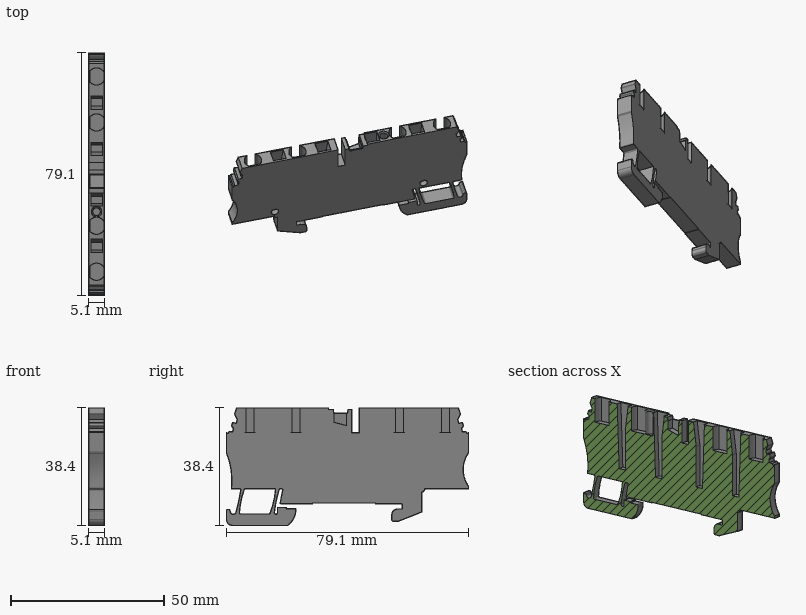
import cadquery as cq
import math

THICKNESS = 5.1
LENGTH = 79.05
HEIGHT = 38.35
HALF_LENGTH = LENGTH / 2
OPEN_FACE_X = THICKNESS / 2
CLOSED_FACE_X = -THICKNESS / 2

SHOULDER_Z = 30.27
UNDERSIDE_Z = 11.93
RAIL_Z = 7.1
RAIL_RELIEF_Y = (-11.4, 9.2)
RAIL_RELIEF = 0.2

END_STEPS = [
    (3.35, HEIGHT),
    (2.65, 36.4),
    (3.5, 34.6),
    (3.25, 33.4),
    (2.05, 33.6),
    (1.65, 32.5),
    (2.3, 31.7),
    (2.05, 30.65),
    (0.9, 30.65),
    (0.5, 30.05),
    (0.0, 30.35),
]
STEP_TIPS = (1, 5)
STEP_TIP_RADIUS = 0.2

HOLLOW_TOP_Z = 23.75
HOLLOW_DEPTH = 1.77
HOLLOW_EDGE_RADIUS = 1.0
LEFT_HOLLOW_BOTTOM_Z = 12.75
RIGHT_HOLLOW_BOTTOM_Z = 12.2
RIGHT_HOLLOW_DEEPEST_Z = 15.0
RIGHT_END_INSET = 1.65

SLOT_Y = (1.43, 3.82)
MARKER_LAND_Z = 37.87
MARKER_RIM_Z = 36.68
MARKER_LAND_LEFT_Y = 0.15
MARKER_LAND_RIGHT_Y = -6.15
MARKER_RIM_Y = (-4.45, -0.06)
MARKER_LAND_END_Y = -4.62
MARKER_RIM_WIDTH = 0.45
MARKER_FLOOR_Y = (-4.4, -0.3)
MARKER_FLOOR_DROP = 3.0
MARKER_FLOOR_ANGLE = 15.0

HOOK_OUTER_Y = 24.23
HOOK_HEEL_Z = 4.4
HOOK_TOE_Y = 14.4
HOOK_BOTTOM_Z = 1.37
HOOK_BOTTOM_Y = 16.6
HOOK_TOP_Z = 5.43
HOOK_THROAT_Y = 17.8
HOOK_NOSE_RADIUS = 2.0
HOOK_TOE_RADIUS = 0.6
HOOK_ROOT_RADIUS = 1.0

RAIL_END_Y = -22.06
SLIT_TOP_Y = -21.1
BODY_END_Y = -HALF_LENGTH + RIGHT_END_INSET
FOOT_TIP_Y = -16.83
FOOT_TIP_Z = 5.5
FOOT_CATCH_Y = -19.97
FOOT_CATCH_Z = 5.95
FOOT_FLOOR_Z = 3.8
FOOT_GROOVE_BOTTOM_Z = 3.7
FOOT_HEEL_RADIUS = 2.0
SMALL_ROUND = 0.3
LEG_ROUND = 0.5
LIP_ROUND = 0.45
INNER_GROOVE_Y = -22.85
INNER_GROOVE_MID_Y = -23.35
GROOVE_EDGE_Z = 4.2
OUTER_GROOVE_MID_Y = -37.3
OUTER_GROOVE_END = (-38.2, 4.4)
LIP_Y = -38.45
LIP_Z = 5.25
FOOT_FRONT_Y = -19.5
FOOT_NOSE_MID = (-17.75, 1.95)
FOOT_NOSE_TOP_Z = 4.6

INNER_LEG_NEAR = [(-22.2, UNDERSIDE_Z), (-23.15, 8.4), (-23.83, GROOVE_EDGE_Z)]
INNER_LEG_FAR = [(-23.5, UNDERSIDE_Z), (-24.0, 8.35), (-25.4, FOOT_FLOOR_Z)]
OUTER_LEG_NEAR = [(-33.6, UNDERSIDE_Z), (-34.6, 8.6), (-35.25, FOOT_FLOOR_Z)]
OUTER_LEG_FAR = [(-34.8, UNDERSIDE_Z), (-35.4, 8.6), (-36.45, GROOVE_EDGE_Z)]
LEG_ROOT_Z = 3.0

WIRE_ENTRY_Y = [31.9, 16.9, -16.8, -31.8]
WIRE_ENTRY_DIAMETER = 5.6
WIRE_ENTRY_HALF_WIDTH = 2.05
WIRE_ENTRY_MOUTH = 2.6
WIRE_ENTRY_DEPTH = HEIGHT - SHOULDER_Z
POCKET_OUTER_Y = 25.45
POCKET_PITCH = 15.05
POCKET_LENGTH = 4.3
POCKET_X = (-1.82, 2.0)
POCKET_TAPER_DEPTH = HEIGHT - SHOULDER_Z
POCKET_DEPTH = 22.0
POCKET_INNER_TAPER = 1.1
POCKET_OUTER_TAPER = 0.8

TEST_HOLE_Y = -12.2
TEST_HOLE_DIAMETER = 2.5
TEST_HOLE_CHAMFER = 0.45
TEST_HOLE_DEPTH = WIRE_ENTRY_DEPTH
SIDE_HOLE_Y = [25.1, -25.0]
SIDE_HOLE_Z = 14.0
SIDE_HOLE_DIAMETER = 2.5
SIDE_HOLE_DEPTH = 2.0


def profile(y, z):
    """Start an outline in the Y-Z plane at the closed face."""
    return cq.Workplane("YZ", origin=(CLOSED_FACE_X, 0, 0)).moveTo(y, z)


def full_width(outline):
    """Close an outline and extrude it over the whole thickness."""
    return outline.close().extrude(THICKNESS)


def lines(outline, points):
    """Continue an outline with straight lines through the points."""
    for y, z in points:
        outline = outline.lineTo(y, z)
    return outline


def round_corners(solid, corners, radius):
    """Round the edges along X that stand at the given (y, z) corners."""
    for y, z in corners:
        edge = cq.selectors.NearestToPointSelector((0, y, z))
        solid = solid.edges("|X").edges(edge).fillet(radius)
    return solid


def housing():
    left_steps = [(HALF_LENGTH - inset, z) for inset, z in END_STEPS]
    right_steps = [(-y, z) for y, z in reversed(left_steps)]
    hollow_mid_z = (HOLLOW_TOP_Z + LEFT_HOLLOW_BOTTOM_Z) / 2

    outline = profile(*left_steps[0])
    outline = lines(outline, left_steps[1:] + [(HALF_LENGTH, HOLLOW_TOP_Z)])
    outline = outline.threePointArc(
        (HALF_LENGTH - HOLLOW_DEPTH, hollow_mid_z), (HALF_LENGTH, LEFT_HOLLOW_BOTTOM_Z)
    )
    arc_offset = HOOK_ROOT_RADIUS * math.sqrt(0.5)
    outline = lines(
        outline,
        [(HALF_LENGTH, UNDERSIDE_Z), (HOOK_OUTER_Y + HOOK_ROOT_RADIUS, UNDERSIDE_Z)],
    )
    outline = outline.threePointArc(
        (HOOK_OUTER_Y + arc_offset, UNDERSIDE_Z - arc_offset),
        (HOOK_OUTER_Y, UNDERSIDE_Z - HOOK_ROOT_RADIUS),
    )

    outline = lines(
        outline,
        [
            (HOOK_OUTER_Y, HOOK_HEEL_Z),
            (HOOK_BOTTOM_Y, HOOK_BOTTOM_Z),
            (HOOK_TOE_Y, HOOK_BOTTOM_Z),
            (HOOK_TOE_Y, HOOK_TOP_Z),
            (HOOK_THROAT_Y, HOOK_TOP_Z),
            (HOOK_THROAT_Y, RAIL_Z),
            (RAIL_RELIEF_Y[1], RAIL_Z),
            (RAIL_RELIEF_Y[1], RAIL_Z + RAIL_RELIEF),
            (RAIL_RELIEF_Y[0], RAIL_Z + RAIL_RELIEF),
            (RAIL_RELIEF_Y[0], RAIL_Z),
            (RAIL_END_Y, RAIL_Z),
            (SLIT_TOP_Y, UNDERSIDE_Z),
            (BODY_END_Y, UNDERSIDE_Z),
            (BODY_END_Y, RIGHT_HOLLOW_BOTTOM_Z),
        ],
    )

    outline = outline.threePointArc(
        (-HALF_LENGTH + HOLLOW_DEPTH, RIGHT_HOLLOW_DEEPEST_Z), (-HALF_LENGTH, HOLLOW_TOP_Z)
    )
    outline = lines(outline, right_steps)

    outline = lines(
        outline,
        [
            (MARKER_LAND_RIGHT_Y, HEIGHT),
            (MARKER_LAND_RIGHT_Y, MARKER_LAND_Z),
            (MARKER_LAND_END_Y, MARKER_LAND_Z),
            (MARKER_RIM_Y[0], MARKER_RIM_Z),
            (MARKER_RIM_Y[1], MARKER_RIM_Z),
            (MARKER_LAND_LEFT_Y, MARKER_LAND_Z),
            (SLOT_Y[0], MARKER_LAND_Z),
            (SLOT_Y[0], SHOULDER_Z),
            (SLOT_Y[1], SHOULDER_Z),
            (SLOT_Y[1], HEIGHT),
        ],
    )
    body = full_width(outline)
    body = round_corners(body, [(HOOK_TOE_Y, HOOK_TOP_Z)], HOOK_NOSE_RADIUS)
    body = round_corners(body, [(HOOK_TOE_Y, HOOK_BOTTOM_Z)], HOOK_TOE_RADIUS)
    hollow_edges = [(HALF_LENGTH, HOLLOW_TOP_Z), (-HALF_LENGTH, HOLLOW_TOP_Z)]
    body = round_corners(body, hollow_edges, HOLLOW_EDGE_RADIUS)
    for tip in STEP_TIPS:
        y, z = left_steps[tip]
        body = round_corners(body, [(y, z), (-y, z)], STEP_TIP_RADIUS)
    return round_corners(
        body, [(HOOK_THROAT_Y, RAIL_Z), (RAIL_END_Y, RAIL_Z)], SMALL_ROUND
    )


def foot():
    heel_offset = FOOT_HEEL_RADIUS * (1 - math.sqrt(0.5))
    outline = profile(FOOT_TIP_Y, FOOT_TIP_Z)
    outline = lines(
        outline,
        [
            (FOOT_CATCH_Y, FOOT_TIP_Z),
            (FOOT_CATCH_Y, FOOT_CATCH_Z),
            (INNER_GROOVE_Y, FOOT_CATCH_Z),
            (INNER_GROOVE_Y, GROOVE_EDGE_Z),
        ],
    )
    outline = outline.threePointArc(
        (INNER_GROOVE_MID_Y, FOOT_GROOVE_BOTTOM_Z), INNER_LEG_NEAR[2]
    )
    outline = lines(outline, [INNER_LEG_FAR[2], OUTER_LEG_NEAR[2], OUTER_LEG_FAR[2]])
    outline = outline.threePointArc(
        (OUTER_GROOVE_MID_Y, FOOT_GROOVE_BOTTOM_Z), OUTER_GROOVE_END
    )
    outline = lines(
        outline,
        [(LIP_Y, LIP_Z), (-HALF_LENGTH, LIP_Z), (-HALF_LENGTH, FOOT_HEEL_RADIUS)],
    )
    outline = outline.threePointArc(
        (-HALF_LENGTH + heel_offset, heel_offset), (-HALF_LENGTH + FOOT_HEEL_RADIUS, 0)
    )
    outline = outline.lineTo(FOOT_FRONT_Y, 0)
    outline = outline.threePointArc(FOOT_NOSE_MID, (FOOT_TIP_Y, FOOT_NOSE_TOP_Z))
    return full_width(outline)


def leg(near_side, far_side):
    """A curved leg between housing and foot; each side is (top, middle, bottom)."""
    outline = profile(*near_side[0]).threePointArc(near_side[1], near_side[2])
    outline = lines(
        outline,
        [(near_side[2][0], LEG_ROOT_Z), (far_side[2][0], LEG_ROOT_Z), far_side[2]],
    )
    outline = outline.threePointArc(far_side[1], far_side[0])
    return full_width(outline)


def legs():
    return leg(INNER_LEG_NEAR, INNER_LEG_FAR).union(leg(OUTER_LEG_NEAR, OUTER_LEG_FAR))


def wire_entry(y):
    """A round entry, flat towards the closed face and open at the other face."""
    radius = WIRE_ENTRY_DIAMETER / 2
    side_x = WIRE_ENTRY_HALF_WIDTH
    side_y = math.sqrt(radius**2 - side_x**2)
    mouth_y = WIRE_ENTRY_MOUTH / 2
    return (
        cq.Workplane("XY", origin=(0, y, HEIGHT - WIRE_ENTRY_DEPTH))
        .moveTo(-side_x, -side_y)
        .threePointArc((0, -radius), (side_x, -side_y))
        .lineTo(OPEN_FACE_X, -mouth_y)
        .lineTo(OPEN_FACE_X, mouth_y)
        .lineTo(side_x, side_y)
        .threePointArc((0, radius), (-side_x, side_y))
        .close()
        .extrude(WIRE_ENTRY_DEPTH)
    )


def pocket(outer_y, inward):
    """A tapered pocket; `inward` is the sign of Y pointing to the middle of the part."""
    floor_z = HEIGHT - POCKET_DEPTH
    inner_y = outer_y + inward * POCKET_LENGTH
    narrowed_y = inner_y - inward * POCKET_INNER_TAPER
    return (
        cq.Workplane("YZ", origin=(POCKET_X[0], 0, 0))
        .moveTo(outer_y, HEIGHT)
        .lineTo(outer_y + inward * POCKET_OUTER_TAPER, floor_z)
        .lineTo(narrowed_y, floor_z)
        .lineTo(narrowed_y, HEIGHT - POCKET_TAPER_DEPTH)
        .lineTo(inner_y, HEIGHT)
        .close()
        .extrude(POCKET_X[1] - POCKET_X[0])
    )


def marker_recess():
    """The sloping recess behind the marker rim, open at the far face."""
    near_y, far_y = MARKER_FLOOR_Y
    near_z = MARKER_RIM_Z - MARKER_FLOOR_DROP
    far_z = near_z - (far_y - near_y) * math.tan(math.radians(MARKER_FLOOR_ANGLE))
    outline = profile(near_y, HEIGHT)
    outline = lines(outline, [(near_y, near_z), (far_y, far_z), (far_y, HEIGHT)])
    return full_width(outline).translate((MARKER_RIM_WIDTH, 0, 0))


def test_hole():
    radius = TEST_HOLE_DIAMETER / 2
    hole = (
        cq.Workplane("XY", origin=(0, TEST_HOLE_Y, HEIGHT))
        .circle(radius)
        .extrude(-TEST_HOLE_DEPTH)
    )
    cone = cq.Solid.makeCone(
        radius + TEST_HOLE_CHAMFER,
        radius,
        TEST_HOLE_CHAMFER,
        pnt=cq.Vector(0, TEST_HOLE_Y, HEIGHT),
        dir=cq.Vector(0, 0, -1),
    )
    return hole.union(cq.Workplane(cone))


def side_hole(y):
    return profile(y, SIDE_HOLE_Z).circle(SIDE_HOLE_DIAMETER / 2).extrude(SIDE_HOLE_DEPTH)


def frame():
    """Housing, legs and foot in one piece, with the corners around the legs rounded."""
    joined = housing().union(legs()).union(foot())
    small_corners = [
        (SLIT_TOP_Y, UNDERSIDE_Z),
        INNER_LEG_NEAR[0],
        OUTER_LEG_NEAR[0],
        OUTER_LEG_FAR[0],
        OUTER_LEG_NEAR[2],
        (INNER_GROOVE_Y, FOOT_CATCH_Z),
        (FOOT_TIP_Y, FOOT_TIP_Z),
    ]
    joined = round_corners(joined, small_corners, SMALL_ROUND)
    joined = round_corners(joined, [(LIP_Y, LIP_Z), (-HALF_LENGTH, LIP_Z)], LIP_ROUND)
    return round_corners(joined, [INNER_LEG_FAR[2]], LEG_ROUND)


result = frame()

for entry_y in WIRE_ENTRY_Y:
    result = result.cut(wire_entry(entry_y))

for pocket_y in (POCKET_OUTER_Y, POCKET_OUTER_Y - POCKET_PITCH):
    result = result.cut(pocket(pocket_y, -1)).cut(pocket(-pocket_y, 1))

for hole_y in SIDE_HOLE_Y:
    result = result.cut(side_hole(hole_y))

result = result.cut(marker_recess()).cut(test_hole())